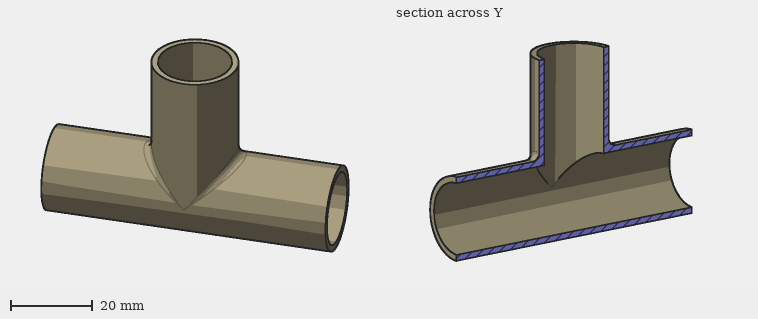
import cadquery as cq

run_length = 72.0
outer_diameter = 21.3
bore_diameter = 18.1
branch_height = 36.0
blend_radius = 2.0
tip_clearance = 0.15


def tee(diameter):
    """Solid tee: run and branch cylinders of one diameter joined together."""
    run = cq.Workplane("YZ").circle(diameter / 2).extrude(run_length / 2, both=True)
    branch = cq.Workplane("XY").circle(diameter / 2).extrude(branch_height)
    return run.union(branch)


def blended_half(solid_tee):
    """The +X half of the tee, trimmed short of the side points, with its corner filleted."""
    width = outer_diameter - 2 * tip_clearance
    half_space = cq.Workplane("XY").box(
        run_length / 2, width, 2 * branch_height, centered=(False, True, True)
    )
    half = solid_tee.intersect(half_space)

    radius = outer_diameter / 2
    corner_zone = cq.selectors.BoxSelector(
        (radius / 2, -radius, radius / 2),
        (radius, radius, radius),
    )
    return half.edges(corner_zone).fillet(blend_radius)


outer_tee = tee(outer_diameter)
right_half = blended_half(outer_tee)
left_half = right_half.mirror("YZ")
body = outer_tee.union(right_half).union(left_half)

result = body.cut(tee(bore_diameter))